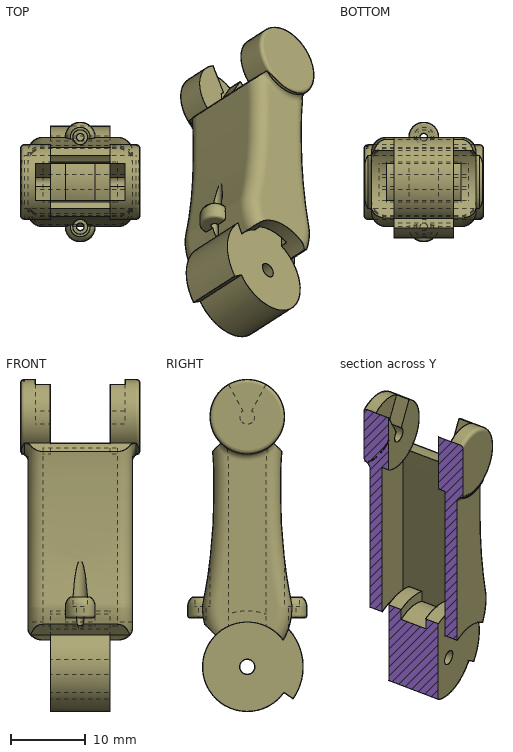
import cadquery as cq
import math


HINGE_SPACING = 33.5
LOWER_Z = -HINGE_SPACING
FORK_RADIUS = 5.0
FORK_HALF_WIDTH = 8.0
FORK_GAP_HALF = 4.0
FORK_EDGE_FILLET = 0.5
FLARE_RADIUS = 0.9
LUG_RADIUS = 6.0
LUG_STOP_RADIUS = 7.5
LUG_HALF_WIDTH = FORK_GAP_HALF
LUG_STOP_END_ANGLE = -35.0
STOP_ANGLE = 45.0
PIVOT_RADIUS = 1.0

SLOT_END_X = 6.0
SLOT_THROAT_HALF = 0.6
SLOT_MOUTH_HALF = 2.5

BODY_HALF_WIDTH = 7.0
WAIST_HALF = 4.5
BODY_FILLET = 2.0
WALL = 2.0
BODY_TOP_Z = -3.0
WAIST_TOP_Z = -8.0
WAIST_BOTTOM_Z = -10.8
BULGE_Z = -25.25
BODY_END_Z = -30.5
TOP_FLARE_RADIUS = 37.0
FLANK_RADIUS = 71.0
HEEL_MID = (5.82, -27.3)
HEEL_END_HALF = 4.46
BULGE_FILLET = 3.0

CAVITY_HALF_WIDTH = BODY_HALF_WIDTH - WALL
GROOVE_HALF_WIDTH = 1.95

GUIDE_Y = 6.0
GUIDE_RADIUS = 2.0
GUIDE_TOP_Z = -24.15
GUIDE_TOP_RADIUS = 1.33
GUIDE_SHOULDER_Z = -25.4
GUIDE_BOTTOM_Z = -26.95
GUIDE_BOTTOM_FILLET = 0.35
TENDON_RADIUS = 0.5
SHEATH_RADIUS = 1.0

FAR = 20.0


def x_cylinder(radius, x_start, x_end, z):
    """Cylinder along X, centred on y = 0."""
    return cq.Workplane("YZ", origin=(x_start, 0, z)).circle(radius).extrude(x_end - x_start)


def x_prism(points, half_width):
    """Prism of a (y, z) polygon, symmetric about the YZ plane."""
    return cq.Workplane("YZ").polyline(points).close().extrude(half_width, both=True)


def arc_offset(radius, run):
    """Sideways departure of an arc from its tangent after a given run along the tangent."""
    return radius - math.sqrt(radius**2 - run**2)


def top_half(z):
    """Half thickness of the body above the straight waist."""
    return WAIST_HALF + arc_offset(TOP_FLARE_RADIUS, z - WAIST_TOP_Z)


def flank_half(z):
    """Half thickness of the body between the waist and the bulge."""
    return WAIST_HALF + arc_offset(FLANK_RADIUS, WAIST_BOTTOM_Z - z)


def make_body():
    top_mid_z = (BODY_TOP_Z + WAIST_TOP_Z) / 2
    flank_mid_z = (WAIST_BOTTOM_Z + BULGE_Z) / 2
    body = (
        cq.Workplane("YZ")
        .moveTo(top_half(BODY_TOP_Z), BODY_TOP_Z)
        .threePointArc((top_half(top_mid_z), top_mid_z), (WAIST_HALF, WAIST_TOP_Z))
        .lineTo(WAIST_HALF, WAIST_BOTTOM_Z)
        .threePointArc((flank_half(flank_mid_z), flank_mid_z), (flank_half(BULGE_Z), BULGE_Z))
        .threePointArc(HEEL_MID, (HEEL_END_HALF, BODY_END_Z))
        .lineTo(-HEEL_END_HALF, BODY_END_Z)
        .threePointArc((-HEEL_MID[0], HEEL_MID[1]), (-flank_half(BULGE_Z), BULGE_Z))
        .threePointArc((-flank_half(flank_mid_z), flank_mid_z), (-WAIST_HALF, WAIST_BOTTOM_Z))
        .lineTo(-WAIST_HALF, WAIST_TOP_Z)
        .threePointArc((-top_half(top_mid_z), top_mid_z), (-top_half(BODY_TOP_Z), BODY_TOP_Z))
        .close()
        .extrude(BODY_HALF_WIDTH, both=True)
    )
    near = 0.1
    half = flank_half(BULGE_Z)
    for side in (-1, 1):
        bulge = cq.selectors.BoxSelector(
            (-FAR, side * half - near, BULGE_Z - near), (FAR, side * half + near, BULGE_Z + near)
        )
        body = body.edges("|X").edges(bulge).fillet(BULGE_FILLET)
    long_edges = body.faces("<X or >X").edges("not(#Z and |Y)")
    return long_edges.fillet(BODY_FILLET)


def trim_stops(body):
    """Cut the radial stop faces at the fork and below the -Y side of the body."""
    drop = FAR * math.tan(math.radians(STOP_ANGLE))
    above_fork = [(0, 0), (FAR, -drop), (FAR, FAR), (-FAR, FAR), (-FAR, -drop)]
    below_heel = [(0, LOWER_Z), (-FAR, LOWER_Z + drop), (-FAR, LOWER_Z - FAR), (0, LOWER_Z - FAR)]
    body = body.cut(x_prism(above_fork, FAR))
    return body.cut(x_prism(below_heel, FAR))


def make_cavity():
    """Central pocket that keeps a constant wall to the upper body and then runs straight down."""
    top_mid_z = (BODY_TOP_Z + WAIST_TOP_Z) / 2
    half = WAIST_HALF - WALL
    mid_half = top_half(top_mid_z) - WALL
    rim_half = top_half(BODY_TOP_Z) - WALL
    return (
        cq.Workplane("YZ")
        .moveTo(rim_half, BODY_TOP_Z)
        .threePointArc((mid_half, top_mid_z), (half, WAIST_TOP_Z))
        .lineTo(half, LOWER_Z)
        .lineTo(-half, LOWER_Z)
        .lineTo(-half, WAIST_TOP_Z)
        .threePointArc((-mid_half, top_mid_z), (-rim_half, BODY_TOP_Z))
        .close()
        .extrude(CAVITY_HALF_WIDTH, both=True)
    )


def make_guide(side):
    """Round tendon guide, standing half out of the body."""
    inset = GUIDE_RADIUS - GUIDE_TOP_RADIUS
    rise = GUIDE_TOP_Z - GUIDE_SHOULDER_Z
    round_radius = (inset**2 + rise**2) / (2 * inset)
    mid_rise = rise / 2
    round_mid = (GUIDE_RADIUS - arc_offset(round_radius, mid_rise), GUIDE_SHOULDER_Z + mid_rise)
    profile = (
        cq.Workplane("XZ")
        .moveTo(0, GUIDE_TOP_Z)
        .lineTo(GUIDE_TOP_RADIUS, GUIDE_TOP_Z)
        .threePointArc(round_mid, (GUIDE_RADIUS, GUIDE_SHOULDER_Z))
        .lineTo(GUIDE_RADIUS, GUIDE_BOTTOM_Z)
        .lineTo(0, GUIDE_BOTTOM_Z)
        .close()
    )
    guide = profile.revolve(360, (0, 0, 0), (0, 1, 0))
    guide = guide.faces("<Z").edges().fillet(GUIDE_BOTTOM_FILLET)
    return guide.translate((0, side * GUIDE_Y, 0))


def make_tendon_bore(side):
    """Tendon hole through a guide, with a wider sheath seat that opens upwards."""
    base = cq.Workplane("XY", origin=(0, side * GUIDE_Y, LOWER_Z))
    tendon = base.circle(TENDON_RADIUS).extrude(GUIDE_TOP_Z - LOWER_Z)
    seat = base.workplane(offset=GUIDE_SHOULDER_Z - LOWER_Z).circle(SHEATH_RADIUS)
    return tendon.union(seat.extrude(WAIST_BOTTOM_Z - GUIDE_SHOULDER_Z))


def blend_fork(body):
    """Shape the top of the body to the fork: concave flares up to the discs, hollow between them."""
    hub = x_cylinder(FORK_RADIUS, -FAR, FAR, 0)
    body = body.union(hub)
    for side in (-1, 1):
        side_face_x = side * BODY_HALF_WIDTH
        seam = cq.selectors.BoxSelector(
            (side_face_x - FLARE_RADIUS, -FORK_RADIUS, -FORK_RADIUS - FLARE_RADIUS),
            (side_face_x + FLARE_RADIUS, FORK_RADIUS, 0),
        )
        body = body.edges(seam).fillet(FLARE_RADIUS)
    return body.cut(hub)


def make_fork_disc():
    """Fork disc on the +X side with its rounded outer edge."""
    disc = x_cylinder(FORK_RADIUS, FORK_GAP_HALF, FORK_HALF_WIDTH, 0)
    return disc.faces(">X").edges().fillet(FORK_EDGE_FILLET)


def make_snap_slot():
    """Pin seat with a tapered mouth, cut through both fork discs to the same depth."""
    throat_z = math.sqrt(PIVOT_RADIUS**2 - SLOT_THROAT_HALF**2)
    rim_z = math.sqrt(FORK_RADIUS**2 - SLOT_MOUTH_HALF**2)
    taper = (SLOT_MOUTH_HALF - SLOT_THROAT_HALF) / (rim_z - throat_z)
    mouth_z = FORK_RADIUS + FORK_EDGE_FILLET
    mouth_half = SLOT_THROAT_HALF + taper * (mouth_z - throat_z)
    mouth = x_prism(
        [
            (-SLOT_THROAT_HALF, 0),
            (SLOT_THROAT_HALF, 0),
            (SLOT_THROAT_HALF, throat_z),
            (mouth_half, mouth_z),
            (-mouth_half, mouth_z),
            (-SLOT_THROAT_HALF, throat_z),
        ],
        SLOT_END_X,
    )
    seat = x_cylinder(PIVOT_RADIUS, -SLOT_END_X, SLOT_END_X, 0)
    gap = cq.Workplane("XY").box(2 * FORK_GAP_HALF, 2 * FAR, 2 * FAR)
    return mouth.union(seat).cut(gap)


def polar(radius, angle):
    """(y, z) point around the lower hinge."""
    radians = math.radians(angle)
    return (radius * math.cos(radians), LOWER_Z + radius * math.sin(radians))


def make_lug():
    """Lower hinge lug with its raised stop sector and the tendon groove under the cavity."""
    far_angle = 180 - STOP_ANGLE
    mid_angle = (LUG_STOP_END_ANGLE + far_angle) / 2
    sector = (
        cq.Workplane("YZ")
        .moveTo(0, LOWER_Z)
        .lineTo(*polar(LUG_STOP_RADIUS, LUG_STOP_END_ANGLE))
        .threePointArc(polar(LUG_STOP_RADIUS, mid_angle), polar(LUG_STOP_RADIUS, far_angle))
        .close()
        .extrude(LUG_HALF_WIDTH, both=True)
    )
    cavity_depth = 2 * (WAIST_HALF - WALL)
    groove = cq.Workplane("XY", origin=(0, 0, LOWER_Z)).rect(2 * GROOVE_HALF_WIDTH, cavity_depth)
    disc = x_cylinder(LUG_RADIUS, -LUG_HALF_WIDTH, LUG_HALF_WIDTH, LOWER_Z)
    return sector.cut(groove.extrude(LUG_STOP_RADIUS)).union(disc)


link = blend_fork(trim_stops(make_body()))
for side in (-1, 1):
    link = link.union(make_guide(side))
for side in (-1, 1):
    link = link.cut(make_tendon_bore(side))
link = link.cut(make_cavity())
link = link.cut(x_cylinder(LUG_RADIUS, -FAR, FAR, LOWER_Z))

fork_disc = make_fork_disc()
link = link.union(fork_disc).union(fork_disc.mirror("YZ"))
link = link.cut(make_snap_slot())

link = link.union(make_lug())
pivot = x_cylinder(PIVOT_RADIUS, -LUG_HALF_WIDTH, LUG_HALF_WIDTH, LOWER_Z)
result = link.cut(pivot)